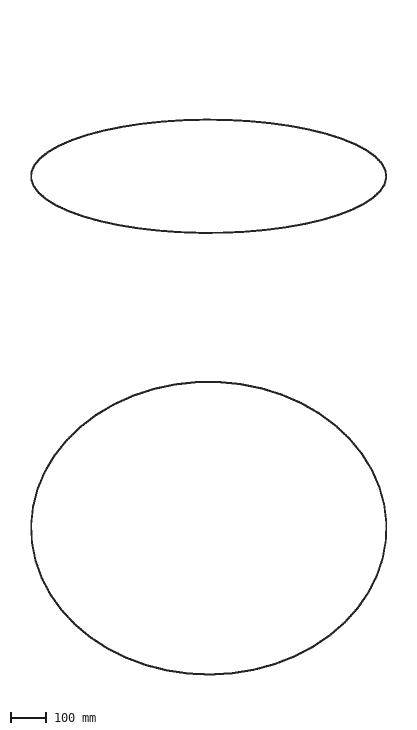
import cadquery as cq

outer_diameter = 1001.0
wall_thickness = 2.0
height = 2.0

outer_radius = outer_diameter / 2
inner_radius = outer_radius - wall_thickness

result = (
    cq.Workplane("XY")
    .circle(outer_radius)
    .circle(inner_radius)
    .extrude(height / 2, both=True)
)